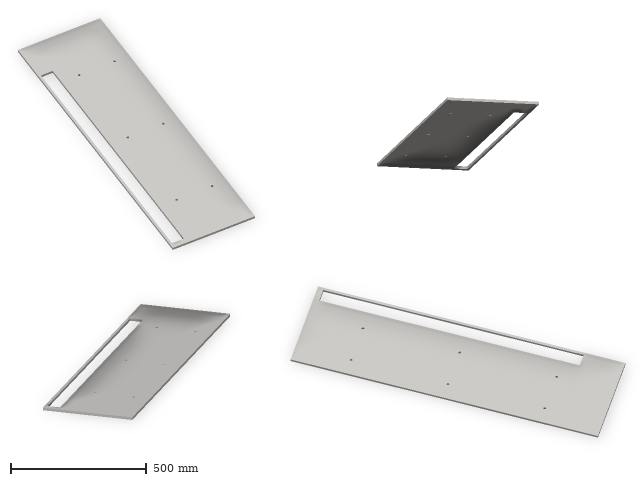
import cadquery as cq

plate_length = 1190.5
plate_width = 348.0
plate_thickness = 10.0

window_length = 1008.0
window_width = 50.0
window_right_margin = 23.5
window_front_margin = 10.0

hole_diameter = 10.0
hole_columns = 3
hole_rows = 2
hole_pitch_x = 375.0
hole_pitch_y = 150.0
first_column_from_left = 225.0
rear_row_from_back = 63.0


def make_plate():
    return cq.Workplane("XY").box(
        plate_length, plate_width, plate_thickness, centered=(True, True, False)
    )


def cut_window(plate):
    center_x = plate_length / 2 - window_right_margin - window_length / 2
    center_y = -plate_width / 2 + window_front_margin + window_width / 2
    cutter = (
        cq.Workplane("XY")
        .center(center_x, center_y)
        .rect(window_length, window_width)
        .extrude(plate_thickness)
    )
    return plate.cut(cutter)


def drill_holes(plate):
    first_x = -plate_length / 2 + first_column_from_left
    rear_y = plate_width / 2 - rear_row_from_back
    centers = [
        (first_x + column * hole_pitch_x, rear_y - row * hole_pitch_y)
        for column in range(hole_columns)
        for row in range(hole_rows)
    ]
    cutters = (
        cq.Workplane("XY")
        .pushPoints(centers)
        .circle(hole_diameter / 2)
        .extrude(plate_thickness)
    )
    return plate.cut(cutters)


result = drill_holes(cut_window(make_plate()))